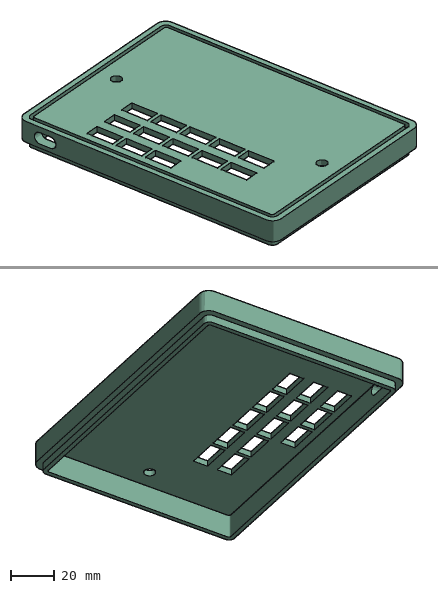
import cadquery as cq

length = 150.0
width = 110.0
height = 15.5
corner_radius = 5.0
wall_thickness = 5.2

foot_height = 4.0
foot_inset = 3.0
foot_radius = 3.0

plate_inset = 5.0
plate_radius = 1.0
plate_thickness = 3.2
groove_depth = 3.0

slot_length = 12.5
slot_height = 6.2
slot_x = -59.0
slot_z = height - groove_depth - slot_height / 2

hole_diameter = 5.5
hole_spacing = 120.0

windows_per_row = (5, 5, 3)
window_length = 15.0
window_width = 7.6
full_row_length = 83.1
window_pitch_x = (full_row_length - window_length) / (max(windows_per_row) - 1)
window_pitch_y = 13.0
first_window_x = (window_length - full_row_length) / 2
first_row_y = -16.0


def rounded_block(inset, radius, bottom, top):
    """Block with rounded upright corners, stepped in from the body outline."""
    return (
        cq.Workplane("XY", origin=(0, 0, bottom))
        .rect(length - 2 * inset, width - 2 * inset)
        .extrude(top - bottom)
        .edges("|Z")
        .fillet(radius)
    )


def make_shell():
    """Body and foot ring, hollow below the top plate and open underneath."""
    body = rounded_block(0, corner_radius, foot_height, height)
    foot = rounded_block(foot_inset, foot_radius, 0, foot_height)
    cavity = rounded_block(wall_thickness, plate_radius, 0, height - plate_thickness)
    return body.union(foot).cut(cavity)


def make_groove():
    """Ring-shaped cutter between the rim and the plate."""
    bottom = height - groove_depth
    outer = rounded_block(foot_inset, foot_radius, bottom, height)
    inner = rounded_block(plate_inset, plate_radius, bottom, height)
    return outer.cut(inner)


def make_cable_slot():
    """Round-ended cutter through the front wall only."""
    return (
        cq.Workplane("XZ", origin=(slot_x, wall_thickness - width / 2, slot_z))
        .slot2D(slot_length, slot_height)
        .extrude(wall_thickness)
    )


def make_screw_holes():
    """Two round cutters through the plate."""
    return (
        cq.Workplane("XY")
        .rarray(hole_spacing, 1.5, 2, 1)
        .circle(hole_diameter / 2)
        .extrude(height)
    )


def make_windows():
    """Rectangular cutters through the plate."""
    centres = [
        (first_window_x + column * window_pitch_x, first_row_y - row * window_pitch_y)
        for row, count in enumerate(windows_per_row)
        for column in range(count)
    ]
    return (
        cq.Workplane("XY")
        .pushPoints(centres)
        .rect(window_length, window_width)
        .extrude(height)
    )


result = (
    make_shell()
    .cut(make_groove())
    .cut(make_cable_slot())
    .cut(make_screw_holes())
    .cut(make_windows())
)